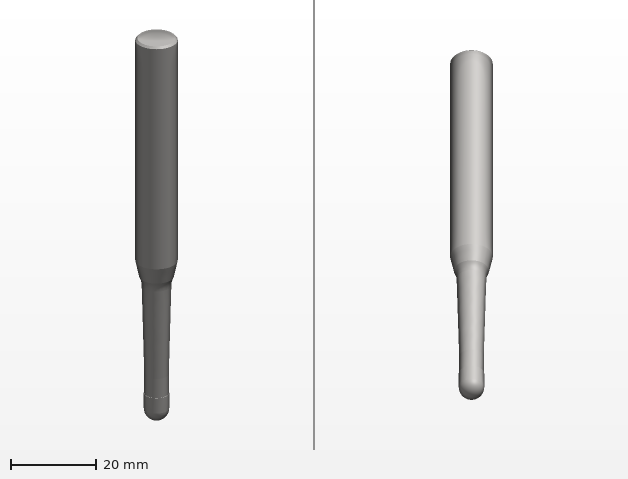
import cadquery as cq
import math

total_length = 100.0
shank_radius = 5.0
ball_radius = 3.0

cutter_length = 7.0
neck_straight_end = 12.0
neck_taper_end = 35.2
shoulder_start = 37.6
shank_start = 41.8

neck_relief = 0.1
neck_radius = ball_radius - neck_relief
neck_top_radius = 3.5
shoulder_arc_radius = 5.0
shoulder_start_radius = 4.1
shank_chamfer = 0.5


def make_cutter():
    """Ball-nosed cutting head, revolved about Z."""
    diagonal = ball_radius * math.sqrt(0.5)
    profile = (
        cq.Workplane("XZ")
        .moveTo(0, 0)
        .threePointArc((diagonal, ball_radius - diagonal), (ball_radius, ball_radius))
        .lineTo(ball_radius, cutter_length)
        .lineTo(0, cutter_length)
        .close()
    )
    return profile.revolve(360, (0, 0, 0), (0, 1, 0))


def make_shank():
    """Straight and tapered neck, concave flare, conical shoulder and chamfered shank."""
    profile = (
        cq.Workplane("XZ")
        .moveTo(0, cutter_length)
        .lineTo(neck_radius, cutter_length)
        .lineTo(neck_radius, neck_straight_end)
        .lineTo(neck_top_radius, neck_taper_end)
        .radiusArc((shoulder_start_radius, shoulder_start), shoulder_arc_radius)
        .lineTo(shank_radius, shank_start)
        .lineTo(shank_radius, total_length - shank_chamfer)
        .lineTo(shank_radius - shank_chamfer, total_length)
        .lineTo(0, total_length)
        .close()
    )
    return profile.revolve(360, (0, 0, 0), (0, 1, 0))


cutter = make_cutter()
shank = make_shank()

result = cq.Compound.makeCompound([cutter.val(), shank.val()])